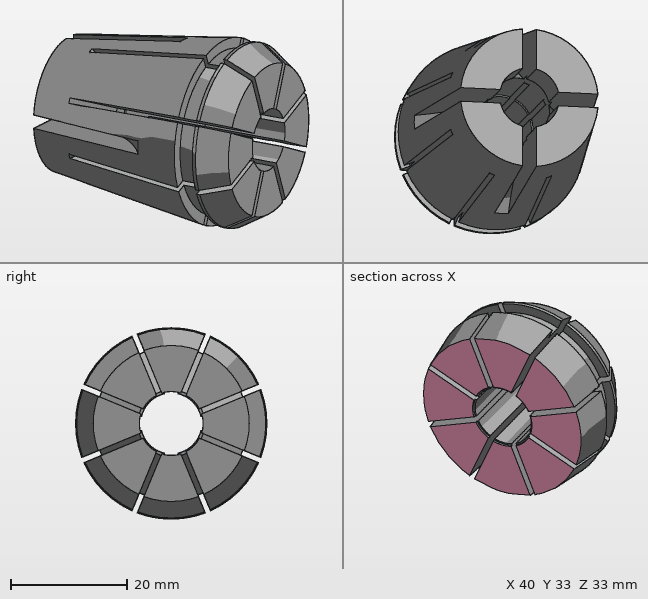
import cadquery as cq
import math

length = 40.0
taper_length = 30.95
large_diameter = 33.0
taper_angle = 8.0
taper_radius = large_diameter / 2
groove_end = 34.45
groove_radius = 14.6
collar_end = 35.1
collar_radius = 16.3
nose_angle = 30.0

land_radius = 5.25
relief_radius = 5.75
clamp_radius = 5.5
relief_start = 8.0
relief_end = 24.0

wide_slot_count = 4
wide_slot_width = 2.4
wide_floor_start = 10.5
wide_floor_end = 23.0
wide_floor_radius = 25.0

narrow_slot_count = 8
narrow_slot_width = 0.95
narrow_slot_start = 7.25
narrow_end_angle = 54.0


def taper_radius_at(x):
    """Outer radius of the taper at a distance x from the small end."""
    return taper_radius - (taper_length - x) * math.tan(math.radians(taper_angle))


def revolve_about_axis(profile):
    """Turn a closed half profile around the X axis."""
    return profile.revolve(360, (0, 0, 0), (1, 0, 0))


def cut_radial_slots(part, outline, width, count, first_angle):
    """Cut evenly spaced radial slots of the given XZ outline around the X axis."""
    cutter = outline.extrude(width / 2, both=True)
    for i in range(count):
        angle = first_angle + i * 360 / count
        part = part.cut(cutter.rotate((0, 0, 0), (1, 0, 0), angle))
    return part


nose_radius = collar_radius - (length - collar_end) * math.tan(math.radians(nose_angle))
body = revolve_about_axis(
    cq.Workplane("XY")
    .moveTo(0, 0)
    .lineTo(0, taper_radius_at(0))
    .lineTo(taper_length, taper_radius)
    .lineTo(taper_length, groove_radius)
    .lineTo(groove_end, groove_radius)
    .lineTo(groove_end, collar_radius)
    .lineTo(collar_end, collar_radius)
    .lineTo(length, nose_radius)
    .lineTo(length, 0)
    .close()
)

bore = revolve_about_axis(
    cq.Workplane("XY")
    .moveTo(0, 0)
    .lineTo(0, land_radius)
    .lineTo(relief_start, land_radius)
    .lineTo(relief_start, relief_radius)
    .lineTo(relief_end, relief_radius)
    .lineTo(relief_end, clamp_radius)
    .lineTo(length, clamp_radius)
    .lineTo(length, 0)
    .close()
)
result = body.cut(bore)

floor_inner = (wide_floor_start, relief_radius)
floor_outer = (wide_floor_end, taper_radius_at(wide_floor_end))
run = floor_outer[0] - floor_inner[0]
rise = floor_outer[1] - floor_inner[1]
chord = math.hypot(run, rise)
sagitta = wide_floor_radius - math.sqrt(wide_floor_radius**2 - (chord / 2) ** 2)
floor_middle = (
    floor_inner[0] + run / 2 + sagitta * rise / chord,
    floor_inner[1] + rise / 2 - sagitta * run / chord,
)
wide_outline = (
    cq.Workplane("XZ")
    .moveTo(0, 0)
    .lineTo(wide_floor_start, 0)
    .lineTo(*floor_inner)
    .threePointArc(floor_middle, floor_outer)
    .lineTo(wide_floor_end, taper_radius)
    .lineTo(0, taper_radius)
    .close()
)
result = cut_radial_slots(result, wide_outline, wide_slot_width, wide_slot_count, 0)

narrow_start_radius = taper_radius_at(narrow_slot_start)
slope_length = narrow_start_radius / math.tan(math.radians(narrow_end_angle))
narrow_first_angle = 360 / narrow_slot_count / 2
narrow_outline = (
    cq.Workplane("XZ")
    .moveTo(narrow_slot_start, taper_radius)
    .lineTo(narrow_slot_start, narrow_start_radius)
    .lineTo(narrow_slot_start + slope_length, 0)
    .lineTo(length, 0)
    .lineTo(length, taper_radius)
    .close()
)
result = cut_radial_slots(
    result, narrow_outline, narrow_slot_width, narrow_slot_count, narrow_first_angle
)